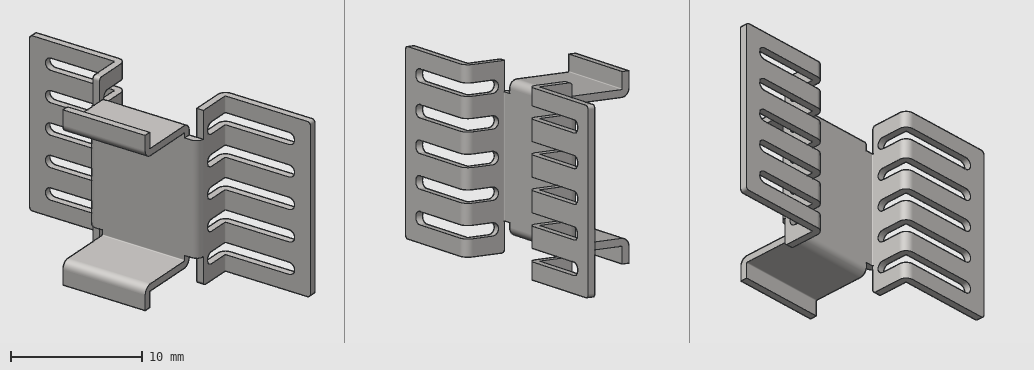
import cadquery as cq

thickness = 0.62
inner_bend_radius = 0.075
outer_bend_radius = inner_bend_radius + thickness
corner_radius = 0.3

overall_width = 25.91
overall_depth = 9.52
overall_height = 14.99
half_height = overall_height / 2

wing_back = 4.19
leg_outer_x = 5.1
leg_inner_x = leg_outer_x - thickness
wing_half_width = overall_width / 2

web_height = 10.06
tab_width = 7.6
tab_front = wing_back - overall_depth
arm_inner_z = 5.48
arm_outer_z = arm_inner_z + thickness

slot_count = 5
slot_width = 1.04
slot_pitch = 2.775
slot_outer_x = 11.48
slot_reach = 3.0
slot_front_y = wing_back - slot_reach
end_flat = 0.0005


def box(x_range, y_range, z_range):
    """Box spanning the given (low, high) ranges."""
    sizes = [high - low for low, high in (x_range, y_range, z_range)]
    corner = (x_range[0], y_range[0], z_range[0])
    return cq.Workplane("XY").box(*sizes, centered=False).translate(corner)


def round_edge(body, point, radius):
    """Fillet the edge whose midpoint is at the given point."""
    return body.edges(cq.NearestToPointSelector(point)).fillet(radius)


def make_half_hat():
    """Right half of the web with the leg and flange on the +X side, full height."""
    outline = [
        (0, 0),
        (leg_outer_x, 0),
        (leg_outer_x, wing_back - thickness),
        (wing_half_width, wing_back - thickness),
        (wing_half_width, wing_back),
        (leg_inner_x, wing_back),
        (leg_inner_x, thickness),
        (0, thickness),
    ]
    hat = cq.Workplane("XY").polyline(outline).close().extrude(half_height, both=True)
    hat = round_edge(hat, (leg_outer_x, 0, 0), outer_bend_radius)
    hat = round_edge(hat, (leg_inner_x, thickness, 0), inner_bend_radius)
    hat = round_edge(hat, (leg_inner_x, wing_back, 0), outer_bend_radius)
    return round_edge(hat, (leg_outer_x, wing_back - thickness, 0), inner_bend_radius)


def trim_web_end(hat, side):
    """Shorten the web at one end, leaving the leg standing."""
    z_range = sorted((side * web_height / 2, side * half_height))
    hat = hat.cut(box((0, leg_outer_x), (0, thickness), z_range))
    hat = hat.cut(box((0, leg_inner_x), (0, outer_bend_radius), z_range))
    return hat


def round_leg_tip(hat, side):
    """Round the front corner of the leg at one end."""
    leg_middle_x = (leg_inner_x + leg_outer_x) / 2
    return round_edge(hat, (leg_middle_x, thickness, side * half_height), corner_radius)


def round_flange_corner(hat, side):
    """Round one free corner of the flange."""
    corner = (wing_half_width, wing_back - thickness / 2, side * half_height)
    return round_edge(hat, corner, corner_radius)


def make_slot(z):
    """Round-ended cutter through the flange, around the bend and into the leg."""
    half_width = slot_width / 2
    end_radius = half_width - end_flat
    z_range = (z - half_width, z + half_width)
    slot = box((leg_inner_x, slot_outer_x), (slot_front_y, wing_back), z_range)
    slot = slot.edges(">X and |Y").fillet(end_radius)
    return slot.edges("<Y and |X").fillet(end_radius)


def make_tab():
    """Hooked tab at the upper end of the web."""
    outline = [
        (0, 0),
        (0, arm_inner_z),
        (tab_front, arm_inner_z),
        (tab_front, half_height),
        (tab_front + thickness, half_height),
        (tab_front + thickness, arm_outer_z),
        (thickness, arm_outer_z),
        (thickness, 0),
    ]
    tab = cq.Workplane("YZ").polyline(outline).close().extrude(tab_width / 2, both=True)
    tab = round_edge(tab, (0, 0, arm_inner_z), inner_bend_radius)
    tab = round_edge(tab, (0, tab_front, arm_inner_z), outer_bend_radius)
    tab = round_edge(tab, (0, tab_front + thickness, arm_outer_z), inner_bend_radius)
    return round_edge(tab, (0, thickness, arm_outer_z), outer_bend_radius)


right_half = make_half_hat()
for end in (-1, 1):
    right_half = trim_web_end(right_half, end)
    right_half = round_flange_corner(right_half, end)
for index in range(slot_count):
    right_half = right_half.cut(make_slot((index - (slot_count - 1) / 2) * slot_pitch))

right_half = round_leg_tip(right_half, -1)
left_half = round_leg_tip(right_half, 1).mirror("YZ")

upper_tab = make_tab()
lower_tab = upper_tab.mirror("XY")
result = right_half.union(left_half).union(upper_tab).union(lower_tab).clean()